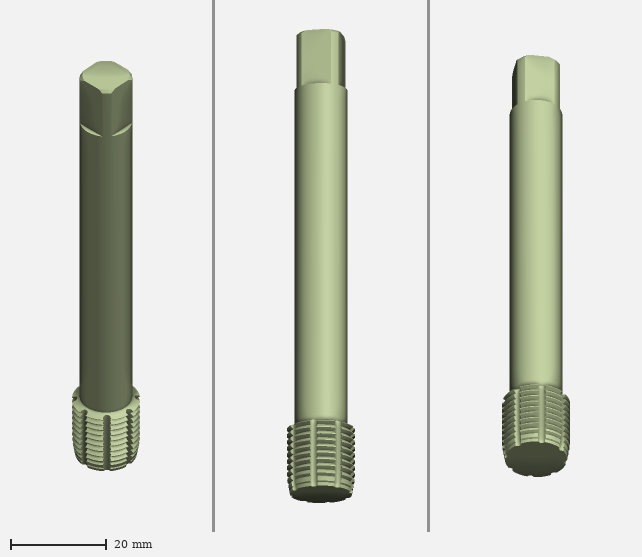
import cadquery as cq

total_length = 100.0

shank_diameter = 11.0
shank_radius = shank_diameter / 2
square_width = 9.0
square_length = 12.0
end_chamfer = 0.6

crest_diameter = 14.3
crest_radius = crest_diameter / 2
root_radius = 6.4
pitch = 1.4
crest_flat = 0.2
first_crest_z = 0.1
crest_count = 11
last_crest_z = first_crest_z + (crest_count - 1) * pitch

head_length = 14.8
lead_length = 3.6
lead_end_radius = 6.5

flute_count = 8
flute_radius = 0.8
flute_bottom_radius = 6.0
flute_center_radius = flute_bottom_radius + flute_radius


def revolve_profile(points):
    """Turn a closed (radius, z) outline about the Z axis."""
    return cq.Workplane("XZ").polyline(points).close().revolve(360, (0, 0, 0), (0, 1, 0))


def make_driving_square_waste():
    """Material outside the four flats at the upper end of the shank."""
    return (
        cq.Workplane("XY")
        .workplane(offset=total_length - square_length)
        .circle(shank_diameter)
        .rect(square_width, square_width)
        .extrude(square_length)
    )


def make_shank():
    """Round shank with a chamfered upper end and a driving square."""
    shank = (
        cq.Workplane("XY")
        .workplane(offset=head_length)
        .circle(shank_radius)
        .extrude(total_length - head_length)
        .faces(">Z")
        .chamfer(end_chamfer)
    )
    return shank.cut(make_driving_square_waste())


def make_ridge(crest_z):
    """One disc with a V-shaped rim, one pitch tall and centred on its crest."""
    bottom_z = crest_z - pitch / 2
    top_z = crest_z + pitch / 2
    return revolve_profile([
        (0, bottom_z),
        (root_radius, bottom_z),
        (crest_radius, crest_z - crest_flat / 2),
        (crest_radius, crest_z + crest_flat / 2),
        (root_radius, top_z),
        (0, top_z),
    ])


def make_head_envelope():
    """Outer limit of the head: lead-in cone, cylinder, then a cone up to the shank."""
    return revolve_profile([
        (0, 0),
        (lead_end_radius, 0),
        (crest_radius, lead_length),
        (crest_radius, last_crest_z),
        (shank_radius, head_length),
        (0, head_length),
    ])


def make_flute(angle):
    """Round-bottomed groove cutter running the full length of the head."""
    return (
        cq.Workplane("XY")
        .center(flute_center_radius, 0)
        .circle(flute_radius)
        .extrude(head_length)
        .rotate((0, 0, 0), (0, 0, 1), angle)
    )


def make_head():
    """Ridged head, trimmed to its envelope and fluted."""
    head = cq.Workplane("XY").circle(root_radius).extrude(head_length)
    for i in range(crest_count):
        head = head.union(make_ridge(first_crest_z + i * pitch))
    head = head.intersect(make_head_envelope())
    for i in range(flute_count):
        head = head.cut(make_flute(i * 360 / flute_count))
    return head


shank = make_shank()
head = make_head()

result = cq.Compound.makeCompound([shank.solids().val(), head.solids().val()])